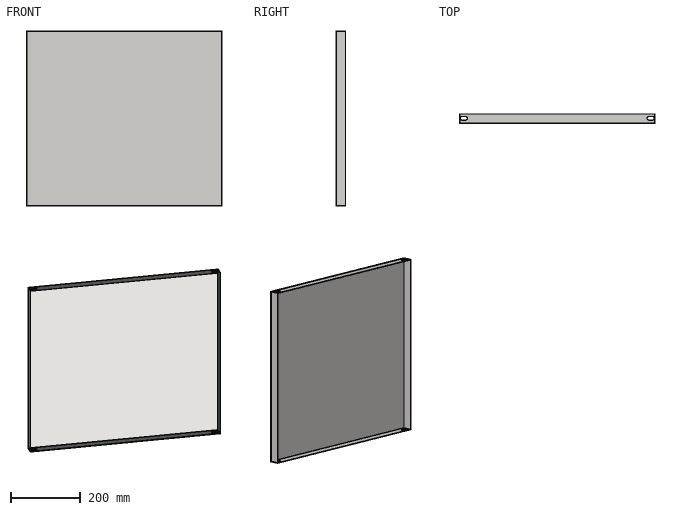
import cadquery as cq

width = 561.0
depth = 27.5
height = 502.0

sheet = 1.5

slot_length = 20.0
slot_width = 10.0
slot_from_side = 3.0
slot_from_back = 13.0


def make_tray():
    """Front sheet with four flanges, open at the back (+Y)."""
    block = cq.Workplane("XY").box(width, depth, height)
    cavity = (
        cq.Workplane("XY")
        .box(width - 2 * sheet, depth, height - 2 * sheet)
        .translate((0, sheet, 0))
    )
    return block.cut(cavity)


def make_slots():
    """Cutters for the round-ended slots at both ends of the two flanges."""
    center_x = width / 2 - slot_from_side - slot_length / 2
    center_y = depth / 2 - slot_from_back
    return (
        cq.Workplane("XY")
        .workplane(offset=-height / 2)
        .pushPoints([(-center_x, center_y), (center_x, center_y)])
        .slot2D(slot_length, slot_width)
        .extrude(height)
    )


result = make_tray().cut(make_slots())